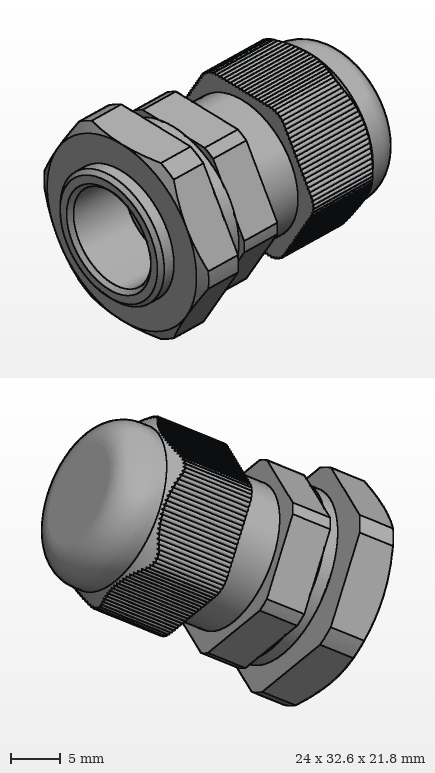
import cadquery as cq
import math

total_length = 32.65
thread_end = -total_length / 2

hex_sides = 6
side_angle = 2 * math.pi / hex_sides
half_side_angle = side_angle / 2

thread_diameter = 15.2
thread_chamfer = 0.5
bore_diameter = 11.3
bore_chamfer = 0.5
bore_depth = 7.55
thread_projection = 1.83
nut_gap = 0.98

nut_across_flats = 21.8
nut_across_corners = 24.0
nut_thickness = 4.75
nut_chamfer_length = 0.62
nut_start = thread_end + thread_projection
nut_end = nut_start + nut_thickness

flange_diameter = 19.0
flange_thickness = 1.47
flange_start = nut_end + nut_gap
flange_end = flange_start + flange_thickness
hex_across_flats = 18.52
hex_across_corners = 20.6
hex_length = 4.6
hex_end = flange_end + hex_length
neck_diameter = 16.0
neck_length = 5.03

dome_diameter = 17.9
dome_radius = 3.53
dome_length = 4.47
skirt_start = hex_end + neck_length
dome_end = total_length / 2
skirt_end = dome_end - dome_length
ridges_per_side = 21
ridge_depth = 0.15
shoulder_length = 1.37

corner_excess = (hex_across_flats / math.cos(half_side_angle) - hex_across_corners) / 2
corner_radius = corner_excess / (1 / math.cos(half_side_angle) - 1)
half_flat = (hex_across_flats / 2 - corner_radius) * math.tan(half_side_angle)
ridge_pitch = (2 * half_flat + corner_radius * side_angle) / ridges_per_side


def along_y(y):
    """Workplane across the axis at the given Y; negative extrusions run towards +Y."""
    return cq.Workplane(cq.Plane((0, y, 0), xDir=(1, 0, 0), normal=(0, -1, 0)))


def cylinder(start, end, diameter):
    """Round bar on the Y axis between two Y positions."""
    return along_y(start).circle(diameter / 2).extrude(start - end)


def cone(start, end, start_radius, end_radius):
    """Truncated cone on the Y axis, with the given radius at each end."""
    profile = [(0, start), (start_radius, start), (end_radius, end), (0, end)]
    return cq.Workplane("XY").polyline(profile).close().revolve(360, (0, 0, 0), (0, 1, 0))


def hexagon(start, end, across_flats, across_corners):
    """Hexagonal prism with corners on +X and -X, turned down to a round at the corners."""
    sharp_corners = across_flats / math.cos(half_side_angle)
    prism = along_y(start).polygon(hex_sides, sharp_corners).extrude(start - end)
    return prism.intersect(cylinder(start, end, across_corners))


def lock_nut():
    """Hexagon nut whose outer face is chamfered down to the across-flats circle."""
    nut = hexagon(nut_start, nut_end, nut_across_flats, nut_across_corners)
    face_radius = nut_across_flats / 2
    slope = (nut_across_corners / 2 - face_radius) / nut_chamfer_length
    envelope = cone(nut_start, nut_end, face_radius, face_radius + slope * nut_thickness)
    return nut.intersect(envelope)


def edge_location(travel):
    """Point and outward angle on the rounded hexagon, from a flat centre past one corner."""
    past_flat = max(travel - half_flat, 0)
    angle = min(past_flat / corner_radius, side_angle)
    last_flat = max(past_flat - corner_radius * side_angle, 0)
    x = hex_across_flats / 2 - corner_radius + corner_radius * math.cos(angle)
    z = min(travel, half_flat) + corner_radius * math.sin(angle)
    return x - last_flat * math.sin(angle), z + last_flat * math.cos(angle), angle


def knurl_point(side, travel, inset):
    """Point set in from the rounded hexagon, on the stretch past the given side's flat centre."""
    x, z, angle = edge_location(travel)
    x -= inset * math.cos(angle)
    z -= inset * math.sin(angle)
    turn = half_side_angle + side * side_angle
    return x * math.cos(turn) - z * math.sin(turn), x * math.sin(turn) + z * math.cos(turn)


def knurled_prism():
    """Rounded hexagon whose edge is a row of convex ridges meeting in sharp grooves."""
    outline = along_y(skirt_start).moveTo(*knurl_point(0, 0, ridge_depth))
    for side in range(hex_sides):
        for ridge in range(ridges_per_side):
            crest = knurl_point(side, (ridge + 0.5) * ridge_pitch, 0)
            groove = knurl_point(side, (ridge + 1) * ridge_pitch, ridge_depth)
            outline = outline.threePointArc(crest, groove)
    return outline.close().extrude(skirt_start - skirt_end)


def knurled_skirt():
    """Knurled prism whose shoulder is cut by a cone rising to the dome."""
    top_radius = dome_diameter / 2
    shoulder_start = skirt_end - shoulder_length
    shoulder = cone(shoulder_start, skirt_end, hex_across_corners / 2, top_radius)
    envelope = shoulder.union(cylinder(skirt_start, shoulder_start, hex_across_corners))
    return knurled_prism().intersect(envelope)


def dome():
    """Rounded cap, carried down as a core through the knurled skirt."""
    return cylinder(skirt_start, dome_end, dome_diameter).faces(">Y").edges().fillet(dome_radius)


def bored(body):
    """Body with the flat-bottomed bore and its chamfered mouth cut in the threaded end."""
    floor = thread_end + bore_depth
    bore = cylinder(thread_end, floor, bore_diameter)
    mouth_radius = bore_diameter / 2 + bore_chamfer
    mouth = cone(thread_end, thread_end + bore_chamfer, mouth_radius, bore_diameter / 2)
    return body.cut(bore).cut(mouth)


stub = cylinder(thread_end, flange_end, thread_diameter).faces("<Y").chamfer(thread_chamfer)
gland = (
    stub
    .union(lock_nut())
    .union(cylinder(flange_start, flange_end, flange_diameter))
    .union(hexagon(flange_end, hex_end, hex_across_flats, hex_across_corners))
    .union(cylinder(hex_end, skirt_start, neck_diameter))
    .union(knurled_skirt())
    .union(dome())
)
result = bored(gland)